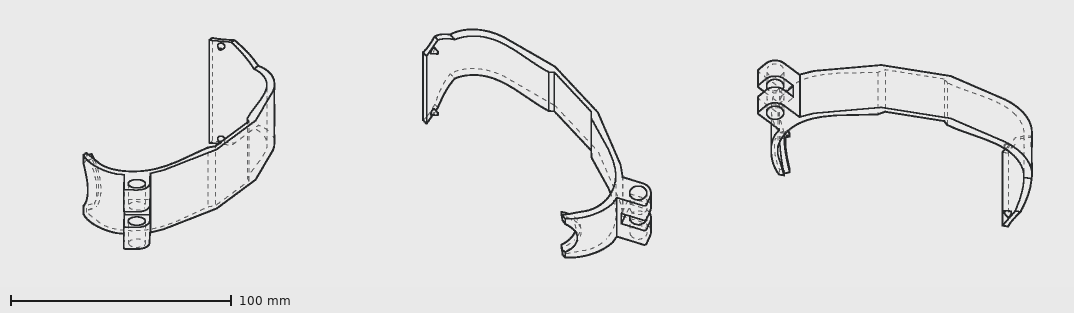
import cadquery as cq
import math

back_x = 47.5
back_half = 16.0
back_wall = 2.2
band_height = 30.8

wing_height = 53.4
wing_flat_end = 9.5
wing_end = 20.5

pin_base = (5.2, 51.8)
pin_angle = -67.0
pin_z = 24.2
pin_radius = 1.8
pin_tip_radius = 0.5
pin_length = 2.7
pin_root = 0.5

hole_center = (34.9, -62.5)
hole_radius = 3.9
lug_half_width = 5.8
lug_length = 10.0
lug_angle = -58.0
lug_corner_radius = 1.0
slot_height = 8.0
slot_floor = 6.0

collar_corner = (1.4, -49.0)
saddle_angle = -28.5
notch_radius = 13.8
collar_radius = 16.0
collar_center_offset = 7.4
collar_depth = 5.2
notch_depth = 15.5
collar_rise = 2.7


def prism(sketch, height):
    """Extrude an XY outline evenly about mid-height."""
    return sketch.extrude(height).translate((0, 0, -height / 2))


def band_outline():
    """Closed plan outline of the strap."""
    inner_x = back_x - back_wall
    return (
        cq.Workplane("XY")
        .moveTo(0, 52.3)
        .spline(
            [(9.4, 56.1), (14.5, 58.3), (20.4, 59.1), (29.1, 56.1), (36.3, 48.6), (39.0, 43.2)],
            includeCurrent=True,
        )
        .lineTo(back_x, back_half)
        .lineTo(back_x, -back_half)
        .lineTo(38.1, -45.2)
        .lineTo(34.9, -50.9)
        .lineTo(26.0, -58.5)
        .lineTo(22.2, -60.1)
        .spline([(17.3, -60.5), (10.7, -59.5), (4.0, -56.6), (0, -53.6)], includeCurrent=True)
        .lineTo(0, -51.3)
        .lineTo(8.5, -55.2)
        .spline(
            [(17.6, -57.3), (26.1, -54.5), (31.8, -49.8), (37.0, -40.8), (39.4, -33.1), (43.2, -16.8)],
            includeCurrent=True,
        )
        .lineTo(inner_x, -13.8)
        .lineTo(inner_x, 13.6)
        .lineTo(43.4, 15.3)
        .spline(
            [(39.0, 32.5), (36.3, 41.1), (33.2, 46.9), (27.7, 52.5), (19.6, 55.6), (9.4, 53.6), (0, 49.6)],
            includeCurrent=True,
        )
        .close()
    )


def make_strap():
    """Strap of band height, widening into the tapered wing at the upper tip."""
    wing_envelope = (
        cq.Workplane("XZ")
        .polyline([
            (0, -wing_height / 2),
            (wing_flat_end, -wing_height / 2),
            (wing_end, -band_height / 2),
            (wing_end, band_height / 2),
            (wing_flat_end, wing_height / 2),
            (0, wing_height / 2),
        ])
        .close()
        .extrude(-2 * back_x)
    )
    band_envelope = cq.Workplane("XY").box(4 * back_x, 4 * back_x, band_height)
    return prism(band_outline(), wing_height).intersect(band_envelope.union(wing_envelope))


def make_pin(z):
    """Tapered pin standing on the inner face of the wing."""
    angle = math.radians(pin_angle)
    axis = cq.Vector(math.cos(angle), math.sin(angle), 0)
    root = cq.Vector(*pin_base, z) - axis * pin_root
    cone = cq.Solid.makeCone(pin_radius, pin_tip_radius, pin_length + pin_root, root, axis)
    return cq.Workplane(cone)


def lug_plane():
    """Plane at the hole centre whose local x runs out along the lug."""
    return cq.Workplane("XY", origin=(*hole_center, 0)).transformed(rotate=(0, 0, lug_angle))


def make_lug():
    """Lug with a wide round on its back-side corner and a small one opposite."""
    small_start = lug_half_width - lug_corner_radius
    small_middle = small_start + lug_corner_radius * math.sqrt(0.5)
    wide_middle = lug_half_width * math.sqrt(0.5)
    outline = (
        lug_plane()
        .moveTo(-lug_length, -lug_half_width)
        .lineTo(small_start, -lug_half_width)
        .threePointArc((small_middle, -small_middle), (lug_half_width, -small_start))
        .lineTo(lug_half_width, 0)
        .threePointArc((wide_middle, wide_middle), (0, lug_half_width))
        .lineTo(-lug_length, lug_half_width)
        .close()
    )
    return prism(outline, band_height)


def lug_cuts():
    """Hinge hole and the slot that splits the lug into two ears."""
    slot_length = slot_floor + 2 * lug_half_width
    slot = lug_plane().center(slot_length / 2 - slot_floor, 0).rect(slot_length, 4 * lug_half_width)
    return prism(lug_plane().circle(hole_radius), band_height).union(prism(slot, slot_height))


def saddle_plane():
    """Plane on the collar's inner rim; local x runs along the wall, normal points outward."""
    angle = math.radians(saddle_angle)
    along_wall = (math.cos(angle), math.sin(angle), 0)
    outward = (math.sin(angle), -math.cos(angle), 0)
    return cq.Workplane(cq.Plane((*collar_corner, 0), along_wall, outward))


def make_collar():
    """Part of a disc, ending square at the tip and sunk into the wall."""
    disc = saddle_plane().center(-collar_center_offset, 0).circle(collar_radius).extrude(collar_rise)
    keep = (
        saddle_plane()
        .center(collar_radius / 2, 0)
        .rect(collar_radius, 2 * collar_radius)
        .extrude(collar_depth)
    )
    return disc.intersect(keep)


def notch_cut():
    return saddle_plane().center(-collar_center_offset, 0).circle(notch_radius).extrude(notch_depth)


result = make_strap().union(make_lug()).union(make_collar())
for z in (-pin_z, pin_z):
    result = result.union(make_pin(z))
result = result.cut(lug_cuts()).cut(notch_cut())